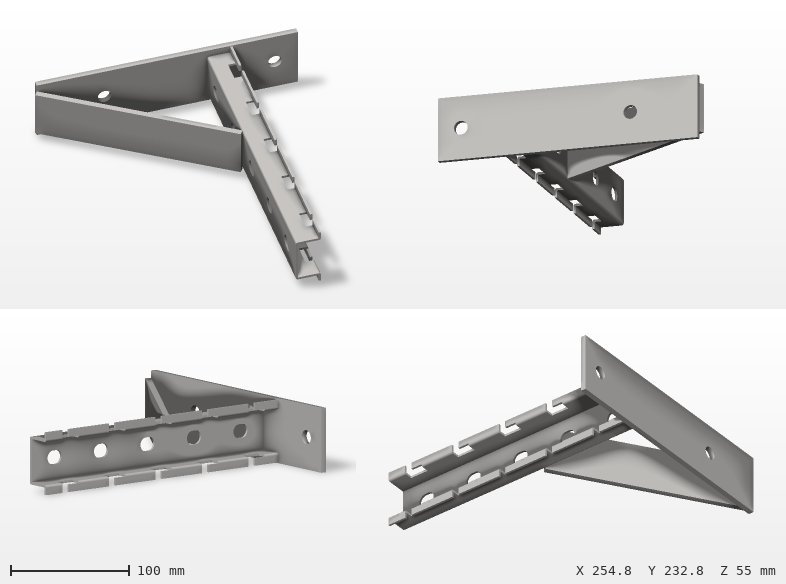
import cadquery as cq
import math

PLATE_THICKNESS = 5.0
PLATE_LENGTH = 230.0
PLATE_WIDTH = 55.0
PLATE_HOLE_DIAMETER = 12.0
PLATE_HOLE_EDGE_DISTANCE = 20.5
PLATE_HOLE_SPACING = 150.0

OVERALL_LENGTH = 254.8
RAIL_LENGTH = OVERALL_LENGTH - PLATE_THICKNESS
RAIL_WEB_OFFSET = 150.0
RAIL_DEPTH = 22.2
RAIL_BODY_WIDTH = 41.0
RAIL_LIP_WIDTH = 53.5
SHEET_THICKNESS = 2.0
BEND_RADIUS = 2.0

FEATURE_COUNT = 5
PITCH = RAIL_LENGTH / FEATURE_COUNT
FIRST_WEB_SLOT_X = PLATE_THICKNESS + PITCH / 2
WEB_SLOT_LENGTH = 15.0
WEB_SLOT_WIDTH = 12.0
FIRST_NOTCH_END_X = 37.5
LIP_GAP_LENGTH = 7.0
NOTCH_LENGTH = 17.5
NOTCH_DEPTH = 8.5

BRACE_THICKNESS = 5.0
BRACE_WIDTH = 42.3
BRACE_REACH = 99.4

LIP_FACE_Y = RAIL_WEB_OFFSET + RAIL_DEPTH


def make_wall_plate():
    plate = cq.Workplane("XY").box(
        PLATE_THICKNESS, PLATE_LENGTH, PLATE_WIDTH, centered=(False, False, True)
    )
    far_hole_y = PLATE_LENGTH - PLATE_HOLE_EDGE_DISTANCE
    near_hole_y = far_hole_y - PLATE_HOLE_SPACING
    holes = (
        cq.Workplane("YZ")
        .pushPoints([(far_hole_y, 0), (near_hole_y, 0)])
        .circle(PLATE_HOLE_DIAMETER / 2)
        .extrude(PLATE_THICKNESS)
    )
    return plate.cut(holes)


def make_hat_profile():
    """Channel with outward lips, drawn in YZ and extruded along the rail."""
    outer_z = RAIL_BODY_WIDTH / 2
    inner_z = outer_z - SHEET_THICKNESS
    lip_z = RAIL_LIP_WIDTH / 2
    web_inside_y = RAIL_WEB_OFFSET + SHEET_THICKNESS
    lip_underside_y = LIP_FACE_Y - SHEET_THICKNESS
    rail = (
        cq.Workplane("YZ", origin=(PLATE_THICKNESS, 0, 0))
        .polyline([
            (RAIL_WEB_OFFSET, -outer_z),
            (lip_underside_y, -outer_z),
            (lip_underside_y, -lip_z),
            (LIP_FACE_Y, -lip_z),
            (LIP_FACE_Y, -inner_z),
            (web_inside_y, -inner_z),
            (web_inside_y, inner_z),
            (LIP_FACE_Y, inner_z),
            (LIP_FACE_Y, lip_z),
            (lip_underside_y, lip_z),
            (lip_underside_y, outer_z),
            (RAIL_WEB_OFFSET, outer_z),
        ])
        .close()
        .extrude(RAIL_LENGTH)
    )
    rail = rail.faces("<Y").edges("|X").fillet(BEND_RADIUS)
    for z in (-inner_z, inner_z):
        lip_corner = cq.selectors.NearestToPointSelector(
            (PLATE_THICKNESS + RAIL_LENGTH / 2, LIP_FACE_Y, z)
        )
        rail = rail.edges("|X").edges(lip_corner).fillet(BEND_RADIUS)
    return rail


def make_web_slot(center_x):
    return (
        cq.Workplane("XZ", origin=(center_x, RAIL_WEB_OFFSET, 0))
        .slot2D(WEB_SLOT_LENGTH, WEB_SLOT_WIDTH)
        .extrude(-SHEET_THICKNESS)
    )


def make_hook_notch(end_x):
    """Narrow gap through the lips, opening into a longer notch across both flanges."""
    notch_floor_y = LIP_FACE_Y - NOTCH_DEPTH
    lip_gap = cq.Workplane("XY").box(
        LIP_GAP_LENGTH, NOTCH_DEPTH, RAIL_LIP_WIDTH, centered=(False, False, True)
    ).translate((end_x - LIP_GAP_LENGTH, notch_floor_y, 0))
    flange_notch = cq.Workplane("XY").box(
        NOTCH_LENGTH, NOTCH_DEPTH, RAIL_BODY_WIDTH, centered=(False, False, True)
    ).translate((end_x - NOTCH_LENGTH, notch_floor_y, 0))
    return lip_gap.union(flange_notch)


def make_rail():
    rail = make_hat_profile()
    for index in range(FEATURE_COUNT):
        offset = index * PITCH
        rail = rail.cut(make_web_slot(FIRST_WEB_SLOT_X + offset))
        rail = rail.cut(make_hook_notch(FIRST_NOTCH_END_X + offset))
    return rail


def make_brace():
    """Square-ended bar touching the plate and the web along one corner edge each."""
    length = math.hypot(BRACE_REACH, RAIL_WEB_OFFSET)
    angle = math.degrees(math.atan2(RAIL_WEB_OFFSET, BRACE_REACH))
    return (
        cq.Workplane("XY")
        .box(length, BRACE_THICKNESS, BRACE_WIDTH, centered=(False, False, True))
        .translate((0, -BRACE_THICKNESS, 0))
        .rotate((0, 0, 0), (0, 0, 1), angle)
        .translate((PLATE_THICKNESS, 0, 0))
    )


wall_plate = make_wall_plate()
rail = make_rail()
brace = make_brace()

result = cq.Compound.makeCompound([wall_plate.val(), rail.val(), brace.val()])